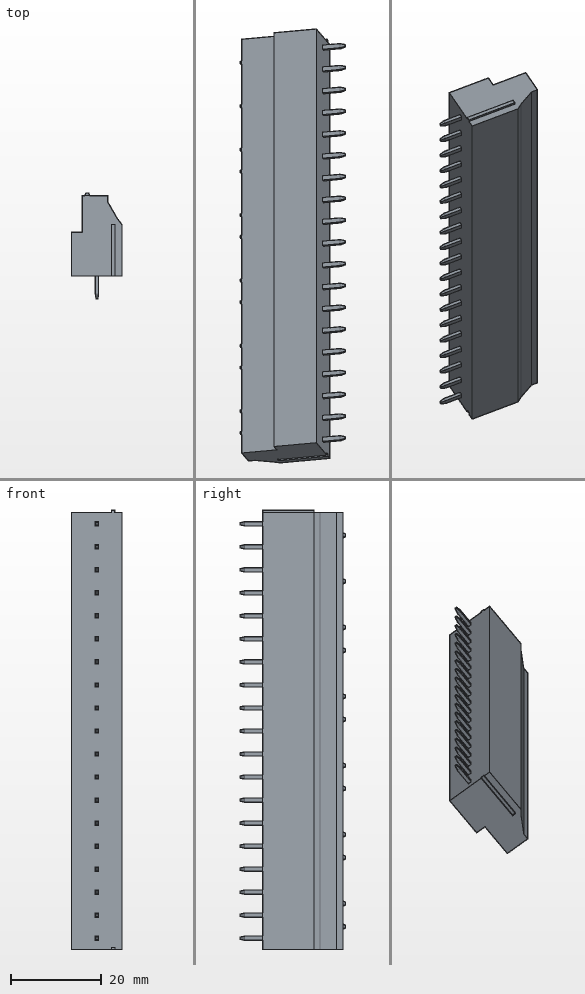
import cadquery as cq

housing_width = 11.2
housing_depth = 17.8
overall_length = 97
rib_height = 0.5
housing_length = overall_length - rib_height
shoulder_width = 2.3
shoulder_depth = 9.7
top_face_end = 8.1
slope_start_depth = 16.3
slope_kink_x = 10.2
slope_kink_depth = 12.6
side_wall_depth = 11.35

pole_count = 19
pole_pitch = housing_length / pole_count
pin_width = 0.8
pin_height = 1.0
pin_length = 5.0
pin_tip_length = 1.1
pin_tip_scale = 0.5
pin_x = 5.6

nub_poles = (0, 1, 3, 4, 6, 7, 9, 10, 12, 13, 15, 17)
nub_x = 3.5
nub_base_radius = 0.6
nub_tip_radius = 0.3
nub_height = 0.6

rib_width = 0.82
rib_right = 9.6
rib_depth = side_wall_depth


def pole_z(pole):
    """Z of the centre of a pole, counted upwards from 0."""
    return (pole + 0.5) * pole_pitch


def make_housing():
    """Stepped and sloped profile, swept over the full housing length."""
    outline = [
        (0, 0),
        (housing_width, 0),
        (housing_width, side_wall_depth),
        (slope_kink_x, slope_kink_depth),
        (top_face_end, slope_start_depth),
        (top_face_end, housing_depth),
        (shoulder_width, housing_depth),
        (shoulder_width, shoulder_depth),
        (0, shoulder_depth),
    ]
    return cq.Workplane("XY").polyline(outline).close().extrude(housing_length)


def make_rib(base_z):
    """Rectangular bar rising from base_z and running in from the pin face."""
    return (
        cq.Workplane("XY", origin=(rib_right - rib_width, 0, base_z))
        .rect(rib_width, rib_depth, centered=False)
        .extrude(rib_height)
    )


def make_pin(z):
    """Rectangular pin pointing along -Y, with a tapered tip."""
    shank_length = pin_length - pin_tip_length
    shank = cq.Workplane("XZ", origin=(pin_x, 0, z)).rect(pin_width, pin_height).extrude(shank_length)
    tip = (
        cq.Workplane("XZ", origin=(pin_x, -shank_length, z))
        .rect(pin_width, pin_height)
        .workplane(offset=pin_tip_length)
        .rect(pin_width * pin_tip_scale, pin_height * pin_tip_scale)
        .loft()
    )
    return shank.union(tip)


def make_nub(z):
    """Blunt cone standing on the +Y face."""
    return (
        cq.Workplane("XZ", origin=(nub_x, housing_depth, z))
        .circle(nub_base_radius)
        .workplane(offset=-nub_height)
        .circle(nub_tip_radius)
        .loft()
    )


result = make_housing().cut(make_rib(0)).union(make_rib(housing_length))
for pole in range(pole_count):
    result = result.union(make_pin(pole_z(pole)))
for pole in nub_poles:
    result = result.union(make_nub(pole_z(pole + 0.5)))